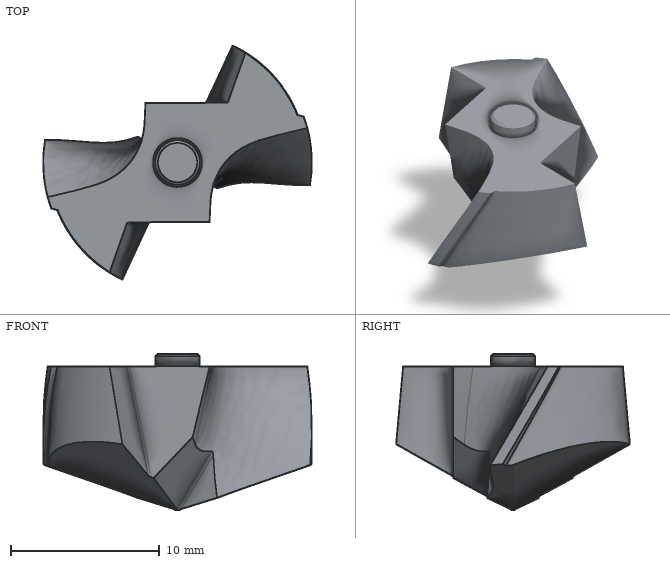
import cadquery as cq
import math


margin_radius = 9.05
relief_radius = 8.7
tip_depth = 9.68
twist_rate = 3.702
margin_end_angle = 14.9
margin_start_angle = 20.0
relief_start_angle = 21.6
heel_angle = 103.0

web_half_width = 2.23
flute_points = [(5.8, 1.6), (4.25, 0.92), (2.93, -0.36), (2.4, -1.55)]
flute_end = (web_half_width, -2.72)

notch_flat = 4.02
notch_root_x = 3.38
notch_rim = (4.6, 7.45)
notch_root_shift = 8.3
root_drop = 42.0
notch_root_radius = 0.18

land_slope = (-0.35, -0.06)
clearance_slope = (-0.35, -0.4)
gash_slope = (1.05, -0.96)
chisel_end = (13.0, -8.5)
chisel_root_radius = 0.18

stud_radius = 1.5
stud_height = 0.85
stud_chamfer = 0.18
groove_radius = 1.65
groove_depth = 0.09

reach = 27.15


def polar(radius, angle):
    """Return the plan point at a radius and an angle in degrees."""
    return (radius * math.cos(math.radians(angle)), radius * math.sin(math.radians(angle)))


def opposite(point):
    """Turn a plan point by half a turn."""
    return (-point[0], -point[1])


def half_turn(shape):
    return shape.rotate((0, 0, 0), (0, 0, 1), 180)


def half_space(origin, outward, x_direction=None):
    """Return a large block on the outward side of a plane."""
    plane = cq.Plane(origin=origin, xDir=x_direction, normal=outward)
    return cq.Workplane(plane).rect(2 * reach, 2 * reach).extrude(reach)


def below(slope):
    """Return the space under a sloping plane through the tip."""
    return half_space((0, 0, -tip_depth), (slope[0], slope[1], -1))


def twisted_body():
    heel = polar(relief_radius, heel_angle)
    section = cq.Workplane("XY").moveTo(*opposite(flute_end))
    for turn in (lambda point: point, opposite):
        relief_start = polar(relief_radius, relief_start_angle)
        relief_middle = polar(relief_radius, (relief_start_angle + heel_angle) / 2)
        margin_start = polar(margin_radius, margin_start_angle)
        margin_middle = polar(margin_radius, (margin_start_angle + margin_end_angle) / 2)
        margin_end = polar(margin_radius, margin_end_angle)
        section = (
            section.lineTo(*turn(heel))
            .threePointArc(turn(relief_middle), turn(relief_start))
            .lineTo(*turn(margin_start))
            .threePointArc(turn(margin_middle), turn(margin_end))
            .spline([turn(p) for p in flute_points + [flute_end]], includeCurrent=True)
        )
    twist = twist_rate * tip_depth
    body = section.close().twistExtrude(tip_depth, twist)
    return body.rotate((0, 0, 0), (0, 0, 1), -twist).translate((0, 0, -tip_depth))


def chip_notch():
    """Return the space between the flat and the inclined side of a wing."""
    rim_x = notch_rim[0] - notch_root_x
    rim_y = notch_rim[1] - notch_flat
    along_rim = cq.Vector(rim_x, rim_y, 0)
    along_root = cq.Vector(-notch_root_shift, 0, -root_drop)
    side_normal = along_rim.cross(along_root)
    root = (notch_root_x, notch_flat, 0)
    past_flat = half_space(root, (0, 1, 0), (1, 0, 0))
    past_side = half_space(root, side_normal.toTuple(), along_rim.toTuple())
    notch = past_flat.intersect(past_side)
    root_edge = cq.selectors.ParallelDirSelector(along_root)
    nearest = cq.selectors.NearestToPointSelector(root)
    return notch.newObject([notch.edges(root_edge).edges(nearest).val()]).fillet(notch_root_radius)


def point_cut():
    """Return the space below one wing's point, up to the chisel wall."""
    wall_normal = (chisel_end[1], -chisel_end[0], 0)
    front_side = half_space((0, 0, 0), wall_normal)
    rise = gash_slope[0] * chisel_end[0] + gash_slope[1] * chisel_end[1]
    chisel_root = cq.selectors.ParallelDirSelector(cq.Vector(*chisel_end, rise))
    gash = below(gash_slope).intersect(front_side).edges(chisel_root).fillet(chisel_root_radius)
    return below(land_slope).union(below(clearance_slope)).intersect(front_side).union(gash)


def locating_stud():
    stud = cq.Workplane("XY").workplane(offset=-groove_depth)
    stud = stud.circle(stud_radius).extrude(stud_height + groove_depth)
    return stud.faces(">Z").chamfer(stud_chamfer)


result = twisted_body()
for cutter in (chip_notch(), point_cut()):
    result = result.cut(cutter).cut(half_turn(cutter))
groove = cq.Workplane("XY").circle(groove_radius).extrude(-groove_depth)
result = result.cut(groove).union(locating_stud())